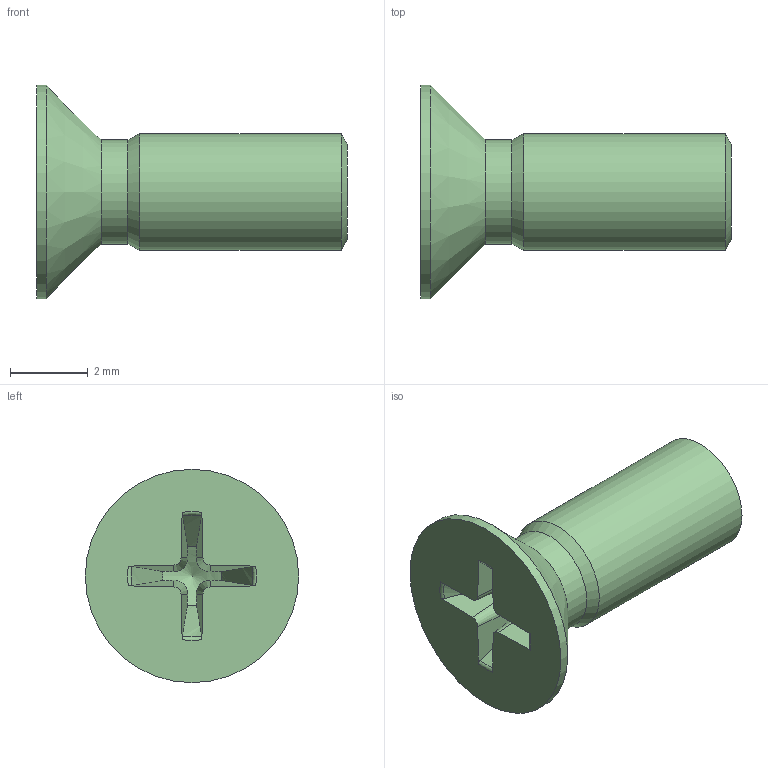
import cadquery as cq
import math

total_length = 8.0
head_radius = 5.5 / 2
rim_thickness = 0.25
neck_radius = 2.69 / 2
neck_end = 2.35
thread_start = 2.65
thread_radius = 3.0 / 2
tip_radius = 1.22
tip_length = 0.15

recess_radius = 1.6
recess_edge_rounding = 0.1
wing_end_angle = 26.5
floor_radius = 0.76
floor_angle = 28.0
slot_half_width = 0.28
slot_floor_half_width = 0.125
wing_narrowing_angle = 1.25
corner_radius = 0.2

neck_start = rim_thickness + head_radius - neck_radius

floor_depth = (recess_radius - floor_radius) / math.tan(math.radians(wing_end_angle))
recess_depth = floor_depth + floor_radius * math.tan(math.radians(floor_angle))
slot_draft = math.degrees(math.atan((slot_half_width - slot_floor_half_width) / floor_depth))

AXIS_START = (0, 0, 0)
AXIS_END = (1, 0, 0)


def make_body():
    """Countersunk head, undercut neck and shank with a chamfered tip."""
    profile = cq.Workplane("XY").polyline([
        (0, 0),
        (0, head_radius),
        (rim_thickness, head_radius),
        (neck_start, neck_radius),
        (neck_end, neck_radius),
        (thread_start, thread_radius),
        (total_length - tip_length, thread_radius),
        (total_length, tip_radius),
        (total_length, 0),
    ])
    return profile.close().revolve(360, AXIS_START, AXIS_END)


def turned(point, quarter):
    """Point turned about the origin by a number of quarter turns."""
    u, v = point
    for _ in range(quarter):
        u, v = -v, u
    return u, v


def make_cross():
    """Drafted cross with rounded inner corners; its wings reach past their final ends."""
    narrowing = math.radians(wing_narrowing_angle)
    arc_centre = slot_half_width + corner_radius * math.cos(narrowing)
    arc_start = (arc_centre - corner_radius * math.sin(narrowing), slot_half_width)
    arc_end = (arc_start[1], arc_start[0])
    arc_middle = (arc_centre - corner_radius * math.sqrt(0.5),) * 2

    wing_reach = head_radius
    end_half_width = slot_half_width - (wing_reach - arc_start[0]) * math.tan(narrowing)

    outline = cq.Workplane("YZ").moveTo(wing_reach, -end_half_width)
    for quarter in range(4):
        outline = (
            outline.lineTo(*turned((wing_reach, end_half_width), quarter))
            .lineTo(*turned(arc_start, quarter))
            .threePointArc(turned(arc_middle, quarter), turned(arc_end, quarter))
        )
        if quarter < 3:
            outline = outline.lineTo(*turned((wing_reach, -end_half_width), quarter + 1))
    return outline.close().extrude(recess_depth, taper=slot_draft)


def make_recess_cone():
    """Cone that shapes the wing ends, rounded into the head face, with a conical floor."""
    end_angle = math.radians(wing_end_angle)
    turn = math.pi / 2 - end_angle
    tangent_length = recess_edge_rounding * math.tan(turn / 2)
    arc_centre_radius = recess_radius + tangent_length

    def rounding_point(angle):
        """Point on the edge rounding, at an angle from its meeting with the head face."""
        return (
            recess_edge_rounding * (1 - math.cos(angle)),
            arc_centre_radius - recess_edge_rounding * math.sin(angle),
        )

    profile = (
        cq.Workplane("XY")
        .lineTo(*rounding_point(0))
        .threePointArc(rounding_point(turn / 2), rounding_point(turn))
        .lineTo(floor_depth, floor_radius)
        .lineTo(recess_depth, 0)
    )
    return profile.close().revolve(360, AXIS_START, AXIS_END)


recess = make_cross().intersect(make_recess_cone())
result = make_body().cut(recess)